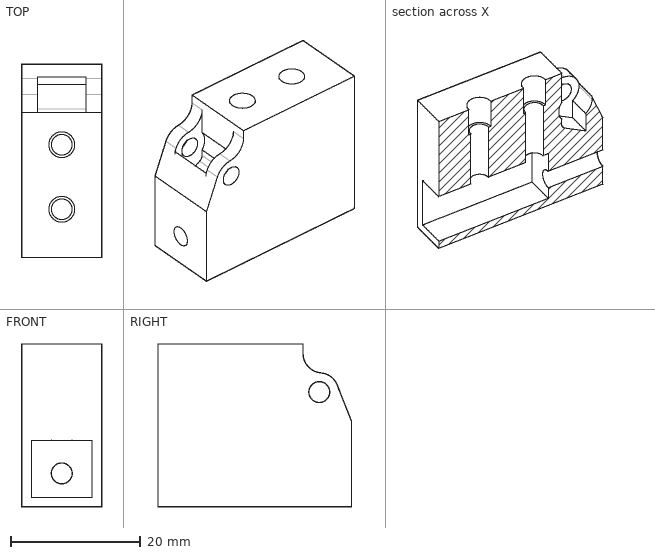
import cadquery as cq
import math

width = 12.4
length = 30.0
height = 25.28

hinge_y = 25.0
hinge_z = 17.8
hinge_radius = 3.0
hinge_hole_diameter = 3.2
shoulder_y = 22.5
shoulder_radius = 3.0
rear_edge_z = 13.3

slot_width = 7.5
throat_rear_y = 26.84
throat_floor_rear_z = 12.0
throat_floor_slope = 30.0
throat_fillet = 1.0

wall = 1.5
pocket_width = width - 2 * wall
pocket_height = 8.8
pocket_depth = 20.0
wire_hole_diameter = 3.2
wire_hole_z = 5.2

screw_hole_ys = (7.5, 17.5)
screw_hole_diameter = 3.2
insert_diameter = 4.0
insert_depth = 5.0
pocket_mid_z = wall + pocket_height / 2


def side_plane(thickness):
    """YZ workplane from which a plate of this thickness is centred on X = 0."""
    return cq.Workplane("YZ", origin=(-thickness / 2, 0, 0))


def polar(centre, radius, angle):
    """YZ point on a circle, with the angle measured from +Y towards +Z."""
    return (centre[0] + radius * math.cos(angle), centre[1] + radius * math.sin(angle))


def make_body():
    """Block with a shoulder that sweeps down over the hinge to the rear edge."""
    hinge = (hinge_y, hinge_z)

    centre_distance = hinge_radius + shoulder_radius
    join_angle = math.acos((shoulder_y + shoulder_radius - hinge_y) / centre_distance)
    shoulder = polar(hinge, centre_distance, join_angle)
    shoulder_mid_angle = math.pi + join_angle / 2

    edge_dy = length - hinge_y
    edge_dz = rear_edge_z - hinge_z
    edge_angle = math.atan2(edge_dz, edge_dy)
    slope_angle = edge_angle + math.acos(hinge_radius / math.hypot(edge_dy, edge_dz))
    hinge_mid_angle = (slope_angle + join_angle) / 2

    return (
        side_plane(width)
        .moveTo(0, 0)
        .lineTo(length, 0)
        .lineTo(length, rear_edge_z)
        .lineTo(*polar(hinge, hinge_radius, slope_angle))
        .threePointArc(
            polar(hinge, hinge_radius, hinge_mid_angle),
            polar(hinge, hinge_radius, join_angle),
        )
        .threePointArc(
            polar(shoulder, shoulder_radius, shoulder_mid_angle),
            polar(shoulder, shoulder_radius, math.pi),
        )
        .lineTo(shoulder_y, height)
        .lineTo(0, height)
        .close()
        .extrude(width)
    )


def make_lever_slot():
    """Round clearance about the hinge, open above, with a sloping-floored throat below."""
    swing = side_plane(slot_width).center(hinge_y, hinge_z).circle(hinge_radius).extrude(slot_width)

    opening = (
        side_plane(slot_width)
        .moveTo(shoulder_y, hinge_z)
        .lineTo(hinge_y + hinge_radius, hinge_z)
        .lineTo(hinge_y + hinge_radius, height)
        .lineTo(shoulder_y, height)
        .close()
        .extrude(slot_width)
    )

    floor_rise = (throat_rear_y - shoulder_y) * math.tan(math.radians(throat_floor_slope))
    floor_front_z = throat_floor_rear_z + floor_rise
    floor_front_corner = cq.selectors.NearestToPointSelector((0, shoulder_y, floor_front_z))
    throat = (
        side_plane(slot_width)
        .moveTo(throat_rear_y, hinge_z)
        .lineTo(throat_rear_y, throat_floor_rear_z)
        .lineTo(shoulder_y, floor_front_z)
        .lineTo(shoulder_y, hinge_z)
        .close()
        .extrude(slot_width)
        .edges(floor_front_corner)
        .fillet(throat_fillet)
    )
    return throat.union(opening).union(swing)


def make_hinge_hole():
    """Pin hole across the full width."""
    return side_plane(width).center(hinge_y, hinge_z).circle(hinge_hole_diameter / 2).extrude(width)


def make_pocket():
    """Blind rectangular pocket entering from the front face."""
    return (
        cq.Workplane("XY", origin=(0, 0, wall))
        .box(pocket_width, pocket_depth, pocket_height, centered=(True, False, False))
    )


def make_wire_hole():
    """Round hole along the full length, opening through the rear face."""
    return cq.Workplane("XZ").center(0, wire_hole_z).circle(wire_hole_diameter / 2).extrude(-length)


def make_screw_hole(hole_y):
    """Wider insert bore at the top, then a screw bore that ends inside the pocket."""
    top = cq.Workplane("XY", origin=(0, hole_y, height))
    insert_bore = top.circle(insert_diameter / 2).extrude(-insert_depth)
    screw_bore = top.circle(screw_hole_diameter / 2).extrude(pocket_mid_z - height)
    return insert_bore.union(screw_bore)


result = make_body()
result = result.cut(make_lever_slot())
result = result.cut(make_hinge_hole())
result = result.cut(make_pocket())
result = result.cut(make_wire_hole())
for screw_hole_y in screw_hole_ys:
    result = result.cut(make_screw_hole(screw_hole_y))